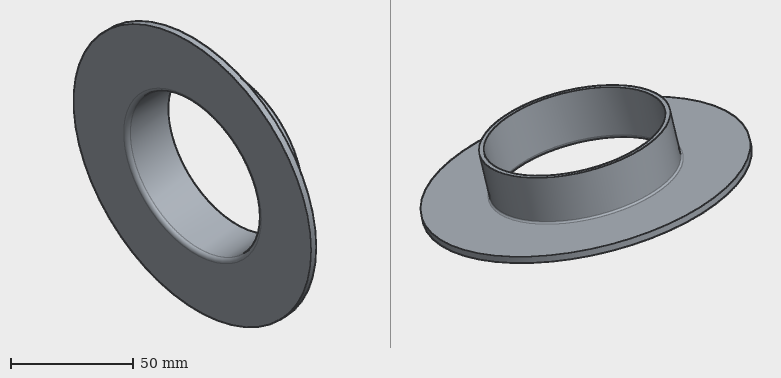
import cadquery as cq

flange_diameter = 138.0
flange_thickness = 3.0
total_depth = 24.0
collar_diameter = 80.0
bore_diameter = 76.0
bore_edge_radius = 2.0
root_radius = 0.8


def disc(diameter, depth):
    """Solid cylinder along +Y, starting on the flange face at Y = 0."""
    return cq.Workplane("XZ").circle(diameter / 2).extrude(-depth)


body = disc(flange_diameter, flange_thickness).union(disc(collar_diameter, total_depth))

root_edge = cq.selectors.BoxSelector(
    (-collar_diameter, flange_thickness - root_radius / 2, -collar_diameter),
    (collar_diameter, flange_thickness + root_radius / 2, collar_diameter),
    boundingbox=True,
)
body = body.edges(root_edge).edges(cq.selectors.RadiusNthSelector(0)).fillet(root_radius)

body = body.cut(disc(bore_diameter, total_depth))
result = body.faces("<Y").edges(cq.selectors.RadiusNthSelector(0)).fillet(bore_edge_radius)